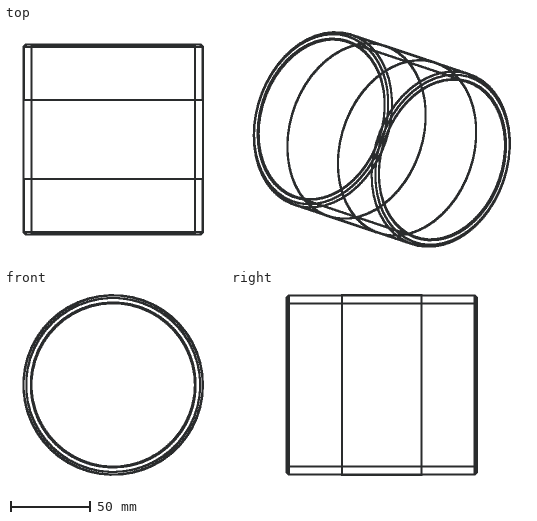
import cadquery as cq

length = 120.0
band_length = 50.0
band_diameter = 113.23
end_diameter = 113.03
bore_diameter = 103.0
bore_chamfer = 0.5

half_length = length / 2
half_band = band_length / 2
band_radius = band_diameter / 2
end_radius = end_diameter / 2
bore_radius = bore_diameter / 2

end_wall = end_radius - bore_radius
outer_chamfer = end_wall / 3


def make_sleeve():
    """Revolve the wall section (radius along X, length along Y) about the Y axis."""
    front_half = [
        (bore_radius, -half_length + bore_chamfer),
        (bore_radius + bore_chamfer, -half_length),
        (end_radius - outer_chamfer, -half_length),
        (end_radius, -half_length + outer_chamfer),
        (end_radius, -half_band),
        (band_radius, -half_band),
    ]
    back_half = [(radius, -y) for radius, y in reversed(front_half)]
    section = cq.Workplane("XY").polyline(front_half + back_half).close()
    return section.revolve(360, (0, 0, 0), (0, 1, 0))


result = make_sleeve()